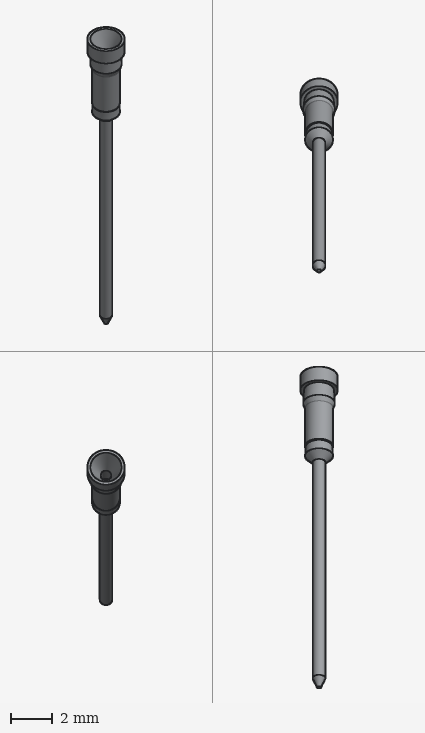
import cadquery as cq
import math

total_height = 17.85
flange_height = 0.79
neck_height = 0.75
barb_height = 0.27
body_height = 2.2
step_height = 0.05
collar_height = 0.5
shoulder_height = 0.37
tip_height = 0.52

flange_bottom = total_height - flange_height
barb_top = flange_bottom - neck_height
barb_bottom = barb_top - barb_height
step_top = barb_bottom - body_height
step_bottom = step_top - step_height
collar_bottom = step_bottom - collar_height
shoulder_bottom = collar_bottom - shoulder_height

flange_radius = 1.8 / 2
neck_radius = 1.45 / 2
barb_radius = 1.54 / 2
body_radius = 1.35 / 2
collar_top_radius = 1.3 / 2
pin_radius = 0.62 / 2
tip_radius = 0.2 / 2

mouth_radius = 1.5 / 2
bore_radius = 0.5 / 2
funnel_depth = 1.07
bore_depth = 2.15
drill_point_angle = 118

funnel_bottom = total_height - funnel_depth
bore_bottom = total_height - bore_depth
bore_point = bore_bottom - bore_radius / math.tan(math.radians(drill_point_angle / 2))


def revolve_profile(points):
    """Turn a closed (radius, height) outline about the Z axis."""
    return cq.Workplane("XZ").polyline(points).close().revolve(360, (0, 0, 0), (0, 1, 0))


turned_pin = revolve_profile([
    (0, 0),
    (tip_radius, 0),
    (pin_radius, tip_height),
    (pin_radius, shoulder_bottom),
    (body_radius, collar_bottom),
    (collar_top_radius, step_bottom),
    (body_radius, step_top),
    (body_radius, barb_bottom),
    (barb_radius, barb_top),
    (neck_radius, flange_bottom),
    (flange_radius, flange_bottom),
    (flange_radius, total_height),
    (0, total_height),
])

socket = revolve_profile([
    (0, bore_point),
    (bore_radius, bore_bottom),
    (bore_radius, funnel_bottom),
    (mouth_radius, total_height),
    (0, total_height),
])

result = turned_pin.cut(socket)